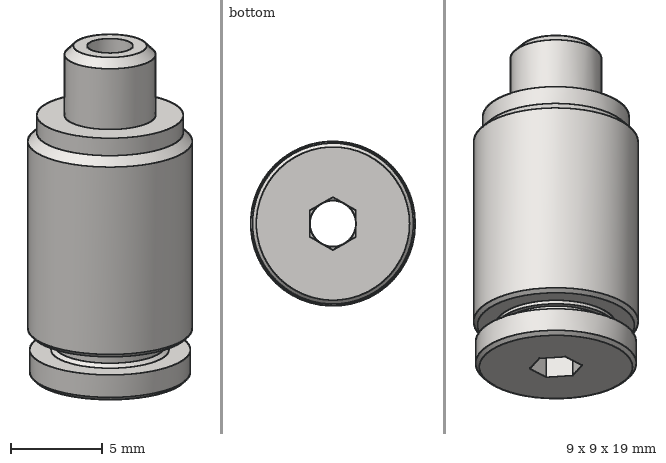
import cadquery as cq

length = 19
body_diameter = 9.0

flange_diameter = 8.8
flange_top = 1.5
flange_chamfer = 0.2
neck_diameter = 6.0
neck_cone_height = 0.2
neck_cone_diameter = 6.46
neck_top = 2.3
collar_diameter = 6.6

body_bottom = 2.5
body_bottom_chamfer = 0.2
body_top = 14.0
body_top_chamfer = 0.5
body_top_diameter = body_diameter - 2 * body_top_chamfer

shoulder_top = 15.01
nozzle_diameter = 5.0
nozzle_chamfer = 0.5

bore_diameter = 2.5
round_bore_depth = 1.0
hexagon_flats = bore_diameter


def turned_body():
    """Revolve the outer half profile, from the base up, about the Z axis."""
    flange_radius = flange_diameter / 2
    neck_radius = neck_diameter / 2
    collar_radius = collar_diameter / 2
    body_radius = body_diameter / 2
    shoulder_radius = body_top_diameter / 2
    nozzle_radius = nozzle_diameter / 2
    profile = [
        (0, 0),
        (flange_radius - flange_chamfer, 0),
        (flange_radius, flange_chamfer),
        (flange_radius, flange_top),
        (neck_cone_diameter / 2, flange_top),
        (neck_radius, flange_top + neck_cone_height),
        (neck_radius, neck_top),
        (collar_radius, neck_top),
        (collar_radius, body_bottom),
        (body_radius - body_bottom_chamfer, body_bottom),
        (body_radius, body_bottom + body_bottom_chamfer),
        (body_radius, body_top - body_top_chamfer),
        (shoulder_radius, body_top),
        (shoulder_radius, shoulder_top),
        (nozzle_radius, shoulder_top),
        (nozzle_radius, length - nozzle_chamfer),
        (nozzle_radius - nozzle_chamfer, length),
        (0, length),
    ]
    return cq.Workplane("XZ").polyline(profile).close().revolve(360, (0, 0), (0, 1))


def bore():
    """Round mouth opening into a hexagonal passage that runs to the base."""
    hexagon_height = length - round_bore_depth
    passage = (
        cq.Workplane("XY")
        .polygon(6, hexagon_flats, circumscribed=True)
        .extrude(hexagon_height)
    )
    mouth = (
        cq.Workplane("XY")
        .workplane(offset=hexagon_height)
        .circle(bore_diameter / 2)
        .extrude(round_bore_depth)
    )
    return passage.union(mouth)


result = turned_body().cut(bore())